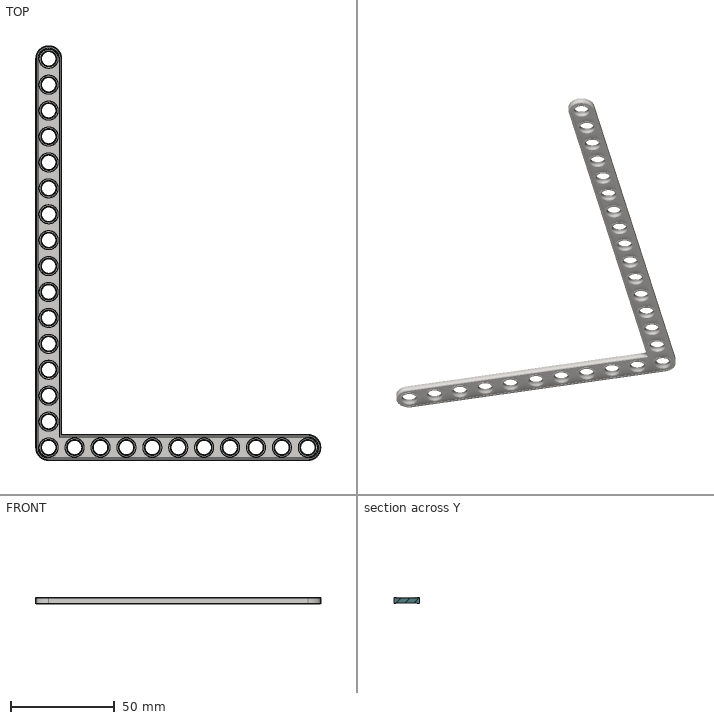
import cadquery as cq

long_arm_length = 200.0
long_arm_holes = 16
short_arm_holes = 11
hole_diameter = 7.0
ring_diameter = 9.2
edge_chamfer = 0.3
recess_depth = 0.2

pitch = long_arm_length / long_arm_holes
thickness = pitch / 4
end_radius = pitch / 2
long_arm_reach = (long_arm_holes - 1) * pitch
short_arm_reach = (short_arm_holes - 1) * pitch

rim_width = (ring_diameter - hole_diameter) / 2

short_arm_centers = [(i * pitch, 0) for i in range(short_arm_holes)]
long_arm_centers = [(0, i * pitch) for i in range(1, long_arm_holes)]
hole_centers = short_arm_centers + long_arm_centers


def angle_plate(inset, height):
    """L plate standing on Z = 0, with its edge moved inward by the inset."""
    radius = end_radius - inset
    corner_middle = radius * 0.5**0.5
    return (
        cq.Workplane("XY")
        .moveTo(0, -radius)
        .lineTo(short_arm_reach, -radius)
        .threePointArc((short_arm_reach + radius, 0), (short_arm_reach, radius))
        .lineTo(radius, radius)
        .lineTo(radius, long_arm_reach)
        .threePointArc((0, long_arm_reach + radius), (-radius, long_arm_reach))
        .lineTo(-radius, 0)
        .threePointArc((-corner_middle, -corner_middle), (0, -radius))
        .close()
        .extrude(height)
    )


def discs(diameter, height):
    """One disc at every hole center, standing on Z = 0."""
    return cq.Workplane("XY").pushPoints(hole_centers).circle(diameter / 2).extrude(height)


plate = angle_plate(0, thickness).cut(discs(hole_diameter, thickness))
plate = plate.faces("<Z or >Z").edges().chamfer(edge_chamfer)

recess = angle_plate(rim_width, recess_depth).cut(discs(ring_diameter, recess_depth))
top_recess = recess.translate((0, 0, thickness - recess_depth))
result = plate.cut(recess).cut(top_recess)